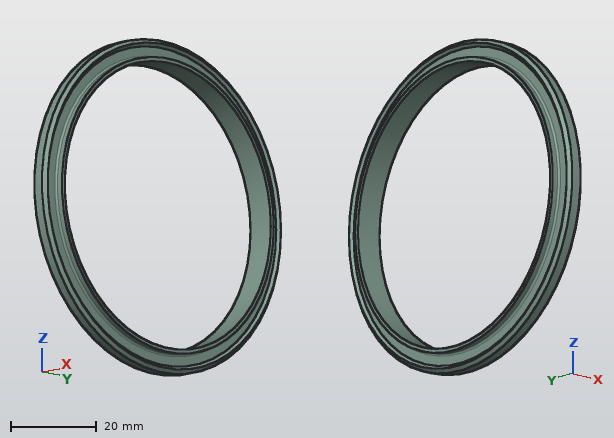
import cadquery as cq

outer_diameter = 79.0
hub_diameter = 70.0
bore_diameter = 68.0
hub_width = 6.7
flange_width = 4.4
rim_chamfer = 0.95

groove_depth = 0.8
groove_outer_taper = 0.8
hub_foot_fillet = 0.5

hub_radius = hub_diameter / 2
lip_radius = outer_diameter / 2 - rim_chamfer
half_flange = flange_width / 2
groove_floor = half_flange - groove_depth


def disc(diameter, width):
    """Disc with its axis along X, centred on the origin."""
    return cq.Workplane("YZ", origin=(-width / 2, 0, 0)).circle(diameter / 2).extrude(width)


def face_groove():
    """Annular groove cutter for the +X flange face."""
    return (
        cq.Workplane("XY")
        .moveTo(half_flange, hub_radius)
        .lineTo(groove_floor + hub_foot_fillet, hub_radius)
        .radiusArc((groove_floor, hub_radius + hub_foot_fillet), hub_foot_fillet)
        .lineTo(groove_floor, lip_radius - groove_outer_taper)
        .lineTo(half_flange, lip_radius)
        .close()
        .revolve(360, (0, 0, 0), (1, 0, 0))
    )


flange = disc(outer_diameter, flange_width).edges("%CIRCLE").chamfer(rim_chamfer)
hub = disc(hub_diameter, hub_width)
bore = disc(bore_diameter, hub_width)
groove = face_groove()

result = flange.cut(groove).cut(groove.mirror("YZ")).union(hub).cut(bore).clean()